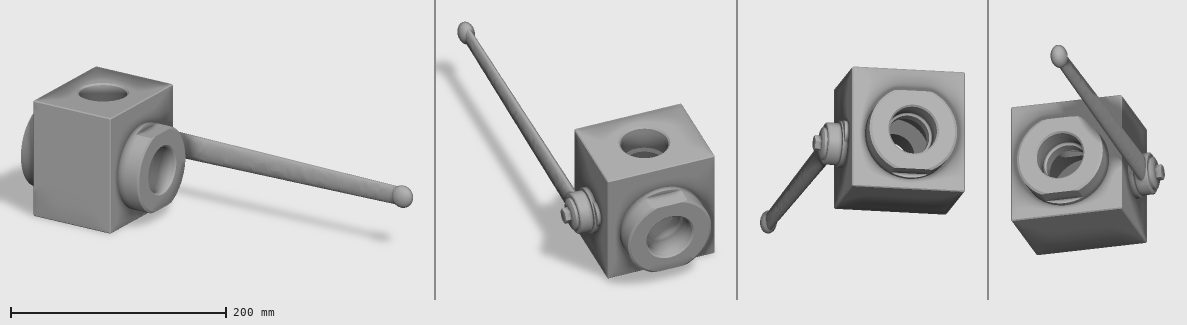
import cadquery as cq
import math


BLOCK_X = 86.0
BLOCK_Y = 107.0
BLOCK_TOP = 64.0
BLOCK_BOTTOM = -51.0
BLOCK_CHAMFER = 1.0
BLOCK_FACE_X = BLOCK_X / 2
BLOCK_FACE_Y = BLOCK_Y / 2
CHAMBER_DIA = 69.0

THREAD_DIA = 44.84
PORT_DEPTH = 24.0
PORT_CHAMFER = 1.6
PORT_FLOOR_ANGLE = 30.0
FLOW_DIA = 40.0
TOP_FLOW_DIA = 38.0

UNION_DIA = 83.0
UNION_END_DIA = 78.5
UNION_END_ANGLE = 30.0
UNION_END_X = 65.5
UNION_FLATS = 75.0
UNION_FLAT_LENGTH = 17.5
SPIGOT_LENGTH = 15.0

STOP_PLATE_THICKNESS = 3.3
STOP_DISC_THICKNESS = 1.2
HUB_THICKNESS = 13.0
HUB_FACE_THICKNESS = 1.0
WASHER_THICKNESS = 3.5
HEAD_HEIGHT = 5.5
STOP_PLATE_Y = BLOCK_FACE_Y
STOP_DISC_Y = STOP_PLATE_Y + STOP_PLATE_THICKNESS
HUB_Y = STOP_DISC_Y + STOP_DISC_THICKNESS
HUB_FACE_Y = HUB_Y + HUB_THICKNESS
WASHER_Y = HUB_FACE_Y + HUB_FACE_THICKNESS
HEAD_Y = WASHER_Y + WASHER_THICKNESS

STOP_DIA = 43.5
LOBE_DIA = 24.0
LOBE_X = -14.4
LOBE_Z = 6.5

HUB_DIA = 39.2
HUB_CHAMFER = 1.0
ARM_ROOT_WIDTH = 26.0
ARM_ROOT_THICKNESS = 11.6
ARM_END_WIDTH = 18.0
ARM_END_THICKNESS = 8.0
ARM_Y = HUB_Y + HUB_THICKNESS / 2
KNOB_DIA = 21.6
KNOB_THICKNESS = 15.4
LEVER_TIP_X = 300.3
KNOB_X = LEVER_TIP_X - KNOB_DIA / 2

WASHER_DIA = 30.0
WASHER_TOP_DIA = 16.0
WASHER_RIM = 1.5
WASHER_DOME_BULGE = 0.6
SCREW_DIA = 8.0
SCREW_LENGTH = 15.0
HEAD_FLATS = 13.0
HEAD_CORNERS = HEAD_FLATS / math.cos(math.radians(30))
HEAD_CHAMFER_ANGLE = 30.0


def disc(diameter, thickness, start_y):
    """Cylinder on the lever axis, from start_y towards +Y."""
    plane = cq.Workplane("XZ", origin=(0, start_y, 0))
    return plane.circle(diameter / 2).extrude(-thickness)


def x_cylinder(diameter, start_x, end_x):
    """Cylinder on the X axis."""
    plane = cq.Workplane("YZ", origin=(start_x, 0, 0))
    return plane.circle(diameter / 2).extrude(end_x - start_x)


def port_cutter(flow_dia, length):
    """Port opening at the origin and running towards -Z."""
    thread_r = THREAD_DIA / 2
    flow_r = flow_dia / 2
    floor_height = (thread_r - flow_r) * math.tan(math.radians(PORT_FLOOR_ANGLE))
    profile = [
        (0, 0),
        (thread_r + PORT_CHAMFER, 0),
        (thread_r, -PORT_CHAMFER),
        (thread_r, -PORT_DEPTH),
        (flow_r, -PORT_DEPTH - floor_height),
        (flow_r, -length),
        (0, -length),
    ]
    return cq.Workplane("XZ").polyline(profile).close().revolve(360, (0, 0), (0, 1))


def make_block():
    height = BLOCK_TOP - BLOCK_BOTTOM
    block = cq.Workplane("XY").box(BLOCK_X, BLOCK_Y, height).edges().chamfer(BLOCK_CHAMFER)
    block = block.translate((0, 0, (BLOCK_TOP + BLOCK_BOTTOM) / 2))
    block = block.cut(x_cylinder(CHAMBER_DIA, -BLOCK_FACE_X, BLOCK_FACE_X))
    return block.cut(port_cutter(TOP_FLOW_DIA, BLOCK_TOP).translate((0, 0, BLOCK_TOP)))


def make_union(side):
    """Union on the +X side of the block for side = 1, on the -X side for side = -1."""
    end_step = (UNION_DIA - UNION_END_DIA) / 2
    bevel_length = end_step * math.tan(math.radians(UNION_END_ANGLE))
    spigot_end_x = BLOCK_FACE_X - SPIGOT_LENGTH
    profile = [
        (spigot_end_x, 0),
        (spigot_end_x, CHAMBER_DIA / 2),
        (BLOCK_FACE_X, CHAMBER_DIA / 2),
        (BLOCK_FACE_X, UNION_DIA / 2),
        (UNION_END_X - bevel_length, UNION_DIA / 2),
        (UNION_END_X, UNION_END_DIA / 2),
        (UNION_END_X, 0),
    ]
    union = cq.Workplane("XY").polyline(profile).close().revolve(360, (0, 0), (1, 0))
    for flat_side in (-1, 1):
        flat = cq.Workplane("XY").box(UNION_FLAT_LENGTH, UNION_DIA, UNION_DIA)
        flat_z = flat_side * (UNION_FLATS + UNION_DIA) / 2
        union = union.cut(flat.translate((UNION_END_X - UNION_FLAT_LENGTH / 2, 0, flat_z)))
    port = port_cutter(FLOW_DIA, UNION_END_X - spigot_end_x)
    port = port.rotate((0, 0, 0), (0, 1, 0), 90).translate((UNION_END_X, 0, 0))
    union = union.cut(port)
    if side < 0:
        union = union.rotate((0, 0, 0), (0, 0, 1), 180)
    return union


def make_stop_plate():
    """Round plate with a rounded stop lobe."""
    plate = disc(STOP_DIA, STOP_PLATE_THICKNESS, STOP_PLATE_Y)
    lobe = disc(LOBE_DIA, STOP_PLATE_THICKNESS, STOP_PLATE_Y).translate((LOBE_X, 0, LOBE_Z))
    return plate.union(lobe)


def make_stop_disc():
    return disc(STOP_DIA, STOP_DISC_THICKNESS, STOP_DISC_Y)


def make_knob():
    """Flattened round knob: an ellipse turned about an axis parallel to Y."""
    half_profile = (
        cq.Workplane("XY")
        .moveTo(0, -KNOB_THICKNESS / 2)
        .ellipseArc(KNOB_DIA / 2, KNOB_THICKNESS / 2, -90, 90, startAtCurrent=True)
        .close()
    )
    return half_profile.revolve(360, (0, 0), (0, 1)).translate((KNOB_X, ARM_Y, 0))


def make_lever():
    hub = disc(HUB_DIA, HUB_THICKNESS, HUB_Y).edges().chamfer(HUB_CHAMFER)
    hub = hub.union(disc(WASHER_DIA, HUB_FACE_THICKNESS, HUB_FACE_Y))
    arm = (
        cq.Workplane("YZ", origin=(0, ARM_Y, 0))
        .ellipse(ARM_ROOT_THICKNESS / 2, ARM_ROOT_WIDTH / 2)
        .workplane(offset=KNOB_X)
        .ellipse(ARM_END_THICKNESS / 2, ARM_END_WIDTH / 2)
        .loft(ruled=True)
    )
    lever = hub.union(arm).union(make_knob())
    return lever.cut(disc(SCREW_DIA, SCREW_LENGTH, HEAD_Y - SCREW_LENGTH))


def make_washer():
    """Thick washer with a plain rim and a domed top."""
    profile = (
        cq.Workplane("XY")
        .moveTo(SCREW_DIA / 2, WASHER_Y)
        .lineTo(WASHER_DIA / 2, WASHER_Y)
        .lineTo(WASHER_DIA / 2, WASHER_Y + WASHER_RIM)
        .sagittaArc((WASHER_TOP_DIA / 2, HEAD_Y), -WASHER_DOME_BULGE)
        .lineTo(SCREW_DIA / 2, HEAD_Y)
        .close()
    )
    return profile.revolve(360, (0, 0), (0, 1))


def make_screw():
    """Hexagon screw with two corners on the X direction and a bevelled head."""
    hexagon = cq.Workplane("XZ", origin=(0, HEAD_Y, 0)).polygon(6, HEAD_CORNERS)
    head = hexagon.extrude(-HEAD_HEIGHT)
    bevel_width = (HEAD_CORNERS - HEAD_FLATS) / 2
    bevel_height = bevel_width * math.tan(math.radians(HEAD_CHAMFER_ANGLE))
    envelope = disc(HEAD_CORNERS, HEAD_HEIGHT, HEAD_Y).faces(">Y").chamfer(bevel_height, bevel_width)
    head = head.intersect(envelope)
    return head.union(disc(SCREW_DIA, SCREW_LENGTH, HEAD_Y - SCREW_LENGTH))


block = make_block()
unions = [make_union(side) for side in (-1, 1)]
stop_plate = make_stop_plate()
stop_disc = make_stop_disc()
lever = make_lever()
washer = make_washer()
screw = make_screw()

result = cq.Compound.makeCompound([
    block.val(),
    *[union.val() for union in unions],
    stop_plate.val(),
    stop_disc.val(),
    lever.val(),
    washer.val(),
    screw.val(),
])